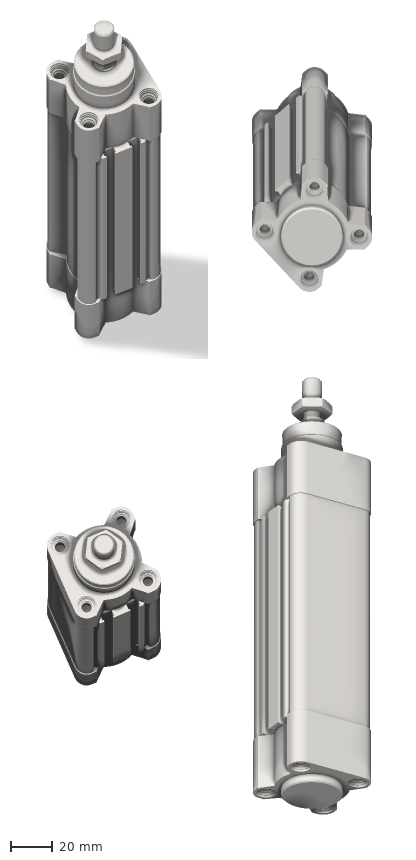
import cadquery as cq
import math

TOTAL_LENGTH = 225.0
REAR_BOSS_HEIGHT = 4.0
CAP_LENGTH = 28.1
HOUSING_TOP = 178.3
FRONT_BOSS_HEIGHT = 10.8
COLLAR_HEIGHT = 7.2
BARREL_BOTTOM = REAR_BOSS_HEIGHT + CAP_LENGTH
BARREL_LENGTH = HOUSING_TOP - CAP_LENGTH - BARREL_BOTTOM
COLLAR_BOTTOM = HOUSING_TOP + FRONT_BOSS_HEIGHT
COLLAR_TOP = COLLAR_BOTTOM + COLLAR_HEIGHT

CAP_HALF = 22.5
SCREW_OFFSET = 16.2
CAP_LOBE_END = 13.5
CAP_LOBE_SHOULDER = (13.0, 21.8)
CAP_WAIST_RADIUS = 18.5
CAP_WAIST_END = 7.5

BARREL_WIDTH = 44.0
BARREL_HALF = BARREL_WIDTH / 2
BARREL_LOBE_END = 15.3
BARREL_LOBE_SHOULDER = (14.2, 20.5)
BARREL_WAIST_RADIUS = 18.0
BARREL_WAIST_END = 8.5
BARREL_SHELF_END = 10.0

SLOT_FLOOR = 18.0
SLOT_LIP = 1.0
SLOT_MOUTH_INNER = 4.5
SLOT_MOUTH_OUTER = 9.2
SLOT_UNDERCUT = 0.7
NOTCH_INNER = 11.3
NOTCH_FLOOR_INNER = (20.7, 12.5)
NOTCH_FLOOR_OUTER = (20.0, 14.0)

BOSS_DIAMETER = 30.0
BOSS_CHAMFER = 0.7
COLLAR_DIAMETER = 29.0
COLLAR_WAIST_DIAMETER = 28.5
COLLAR_CHAMFER = 0.5

SCREW_STEPS = [(9.5, 1.1), (8.8, 2.3), (8.0, 3.4), (6.0, 4.5), (5.0, 11.3)]
SCREW_TIP_ANGLE = 118.0

NUT_ACROSS_FLATS = 17.0
NUT_THICKNESS = 5.0
NUT_BOTTOM = 207.0
NUT_CHAMFER_DIAMETER = 18.0
NUT_CHAMFER_ANGLE = 30.0

ROD_DIAMETER = 12.0
ROD_INSERTION = 22.5
ROD_BOTTOM = COLLAR_TOP - ROD_INSERTION
ROD_SHOULDER = 203.0
ROD_FLAT_WIDTH = 10.0
ROD_FLAT_CLEARANCE = 1.0
ROD_FLAT_BOTTOM = COLLAR_TOP + ROD_FLAT_CLEARANCE
NECK_DIAMETER = 8.8
NECK_GROOVE_BOTTOM = 204.5
NECK_GROOVE_DIAMETER = 8.0
THREAD_DIAMETER = 10.0
THREAD_TIP_DIAMETER = 8.5
THREAD_TIP_LENGTH = 1.0


def cylinder(diameter, bottom, height):
    return cq.Workplane("XY", origin=(0, 0, bottom)).circle(diameter / 2).extrude(height)


def lobed_plate(half, length):
    """Square plate with corners rounded about the screw axes."""
    corner_radius = half - SCREW_OFFSET
    return cq.Workplane("XY").rect(2 * half, 2 * half).extrude(length).edges("|Z").fillet(corner_radius)


def waist_cut(half, lobe_end, shoulder, foot, waist_radius, length):
    """Material removed from the -Y side: the dip between two lobes, down to the waist arc.

    `foot` lists the (x, y) points from below the shoulder to the end of the waist arc.
    """
    right_side = [(lobe_end, -half), (shoulder[0], -shoulder[1])] + [(x, -y) for x, y in foot]
    left_side = [(-x, y) for x, y in reversed(right_side)]
    return (
        cq.Workplane("XY")
        .polyline(right_side)
        .threePointArc((0, -waist_radius), left_side[0])
        .polyline(left_side, includeCurrent=False)
        .close()
        .extrude(length)
    )


def make_screw_recess():
    """Stepped round recess with a conical tip, opening upward at the origin."""
    outline = [(0, 0)]
    step_top = 0
    for diameter, depth in SCREW_STEPS:
        outline += [(diameter / 2, -step_top), (diameter / 2, -depth)]
        step_top = depth
    core_radius = SCREW_STEPS[-1][0] / 2
    tip_length = core_radius / math.tan(math.radians(SCREW_TIP_ANGLE / 2))
    outline.append((0, -step_top - tip_length))
    return cq.Workplane("XZ").polyline(outline).close().revolve(360, (0, 0), (0, 1))


def make_cap():
    """End cap from Z = 0 up, with its screw recesses in the top face."""
    foot = [(CAP_WAIST_END, math.sqrt(CAP_WAIST_RADIUS**2 - CAP_WAIST_END**2))]
    waist = waist_cut(CAP_HALF, CAP_LOBE_END, CAP_LOBE_SHOULDER, foot, CAP_WAIST_RADIUS, CAP_LENGTH)

    cap = lobed_plate(CAP_HALF, CAP_LENGTH)
    for angle in (-90, 0, 90):
        cap = cap.cut(waist.rotate((0, 0, 0), (0, 0, 1), angle))
    recess = make_screw_recess()
    for x in (-SCREW_OFFSET, SCREW_OFFSET):
        for y in (-SCREW_OFFSET, SCREW_OFFSET):
            cap = cap.cut(recess.translate((x, y, CAP_LENGTH)))
    return cap


def make_side_slot():
    """Undercut slot and the V-shaped notch beside it, on the +X side at +Y."""
    lip_back = BARREL_HALF - SLOT_LIP
    mouth_width = SLOT_MOUTH_OUTER - SLOT_MOUTH_INNER
    mouth_middle = (SLOT_MOUTH_OUTER + SLOT_MOUTH_INNER) / 2
    mouth = (
        cq.Workplane("XY")
        .center((SLOT_FLOOR + BARREL_HALF) / 2, mouth_middle)
        .rect(BARREL_HALF - SLOT_FLOOR, mouth_width)
        .extrude(BARREL_LENGTH)
    )
    undercut = (
        cq.Workplane("XY")
        .center((SLOT_FLOOR + lip_back) / 2, mouth_middle)
        .rect(lip_back - SLOT_FLOOR, mouth_width + 2 * SLOT_UNDERCUT)
        .extrude(BARREL_LENGTH)
    )
    notch_outline = [
        (BARREL_HALF, NOTCH_INNER),
        NOTCH_FLOOR_INNER,
        NOTCH_FLOOR_OUTER,
        (BARREL_HALF, BARREL_LOBE_END),
    ]
    notch = cq.Workplane("XY").polyline(notch_outline).close().extrude(BARREL_LENGTH)
    return mouth.union(undercut).union(notch)


def make_barrel():
    shelf_y = math.sqrt(BARREL_WAIST_RADIUS**2 - BARREL_WAIST_END**2)
    foot = [(BARREL_SHELF_END, shelf_y), (BARREL_WAIST_END, shelf_y)]
    waist = waist_cut(
        BARREL_HALF, BARREL_LOBE_END, BARREL_LOBE_SHOULDER, foot, BARREL_WAIST_RADIUS, BARREL_LENGTH
    )
    barrel = lobed_plate(BARREL_HALF, BARREL_LENGTH).cut(waist)
    upper_slot = make_side_slot()
    for slot in (upper_slot, upper_slot.mirror("XZ")):
        barrel = barrel.cut(slot).cut(slot.mirror("YZ"))
    return barrel.translate((0, 0, BARREL_BOTTOM))


def make_collar():
    """Collar with a slightly concave side and a chamfered top edge."""
    radius = COLLAR_DIAMETER / 2
    side_top = COLLAR_TOP - COLLAR_CHAMFER
    return (
        cq.Workplane("XZ")
        .moveTo(0, COLLAR_BOTTOM)
        .lineTo(radius, COLLAR_BOTTOM)
        .threePointArc((COLLAR_WAIST_DIAMETER / 2, (COLLAR_BOTTOM + side_top) / 2), (radius, side_top))
        .lineTo(radius - COLLAR_CHAMFER, COLLAR_TOP)
        .lineTo(0, COLLAR_TOP)
        .close()
        .revolve(360, (0, 0), (0, 1))
    )


def make_housing():
    """Barrel, both caps, bosses and collar in one piece, with the bore for the rod."""
    cap = make_cap()
    front_cap = cap.translate((0, 0, HOUSING_TOP - CAP_LENGTH))
    rear_cap = cap.mirror("XY").translate((0, 0, BARREL_BOTTOM))
    rear_boss = cylinder(BOSS_DIAMETER, 0, REAR_BOSS_HEIGHT).faces("<Z").chamfer(BOSS_CHAMFER)
    front_boss = cylinder(BOSS_DIAMETER, HOUSING_TOP, FRONT_BOSS_HEIGHT).faces(">Z").chamfer(BOSS_CHAMFER)

    housing = make_barrel()
    for section in (front_cap, rear_cap, rear_boss, front_boss, make_collar()):
        housing = housing.union(section)
    return housing.cut(cylinder(ROD_DIAMETER, ROD_BOTTOM, ROD_INSERTION))


def make_rod():
    """Rod with two wrench flats, a grooved neck and a plain cylindrical end for the thread."""
    rod_radius = ROD_DIAMETER / 2
    neck_radius = NECK_DIAMETER / 2
    thread_radius = THREAD_DIAMETER / 2
    groove_middle = (NECK_GROOVE_BOTTOM + NUT_BOTTOM) / 2
    rod = (
        cq.Workplane("XZ")
        .moveTo(0, ROD_BOTTOM)
        .lineTo(rod_radius, ROD_BOTTOM)
        .lineTo(rod_radius, ROD_SHOULDER)
        .lineTo(neck_radius, ROD_SHOULDER)
        .lineTo(neck_radius, NECK_GROOVE_BOTTOM)
        .threePointArc((NECK_GROOVE_DIAMETER / 2, groove_middle), (neck_radius, NUT_BOTTOM))
        .lineTo(thread_radius, NUT_BOTTOM)
        .lineTo(thread_radius, TOTAL_LENGTH - THREAD_TIP_LENGTH)
        .lineTo(THREAD_TIP_DIAMETER / 2, TOTAL_LENGTH)
        .lineTo(0, TOTAL_LENGTH)
        .close()
        .revolve(360, (0, 0), (0, 1))
    )
    flats = (
        cq.Workplane("XY", origin=(0, 0, ROD_FLAT_BOTTOM))
        .rect(2 * ROD_DIAMETER, 2 * ROD_DIAMETER)
        .rect(ROD_FLAT_WIDTH, 2 * ROD_DIAMETER)
        .extrude(ROD_SHOULDER - ROD_FLAT_BOTTOM)
    )
    return rod.cut(flats)


def make_nut():
    """Hexagon nut with its flats facing X and the corners chamfered at both ends."""
    corner_radius = NUT_ACROSS_FLATS / math.sqrt(3)
    end_radius = NUT_CHAMFER_DIAMETER / 2
    chamfer_width = corner_radius - end_radius
    chamfer_height = chamfer_width * math.tan(math.radians(NUT_CHAMFER_ANGLE))
    hexagon = (
        cq.Workplane("XY", origin=(0, 0, NUT_BOTTOM))
        .transformed(rotate=(0, 0, 30))
        .polygon(6, 2 * corner_radius)
        .extrude(NUT_THICKNESS)
    )
    envelope = cylinder(2 * corner_radius, NUT_BOTTOM, NUT_THICKNESS)
    envelope = envelope.faces("<Z or >Z").chamfer(chamfer_height, chamfer_width)
    return hexagon.intersect(envelope).cut(cylinder(THREAD_DIAMETER, NUT_BOTTOM, NUT_THICKNESS))


housing = make_housing()
rod = make_rod()
nut = make_nut()
result = cq.Compound.makeCompound([housing.val(), rod.val(), nut.val()])